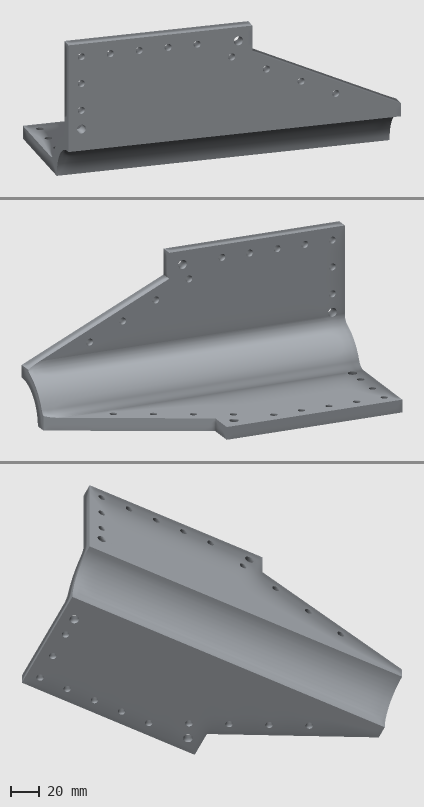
import cadquery as cq
import math

length = 241.3
flange_reach = 105.7
thickness = 9.5
bore_radius = 27.0
corner_radius = bore_radius + thickness
fillet_radius = 7.7

shoulder_y = 133.5
shoulder_step = 19.0
taper_angle = math.radians(25)

small_diameter = 5.0
large_diameter = 6.5
edge_margin = 9.5
side_row_count = 5
side_row_pitch = 21.0
front_row_count = 3
front_row_pitch = 19.8
taper_row_count = 4
taper_row_pitch = 27.7
taper_row_inset = 21.5
taper_row_y = 118.5
large_hole_places = [(62.7, edge_margin), (10.1, 123.3)]

overshoot = 2.5


def corner_section():
    """Constant section of both flanges and the rounded corner, with filleted inner corners."""
    meet = math.sqrt(corner_radius**2 - thickness**2)
    diagonal = math.sqrt(0.5)
    body = (
        cq.Workplane("XZ")
        .moveTo(-flange_reach, 0)
        .lineTo(-bore_radius, 0)
        .threePointArc((-bore_radius * diagonal, bore_radius * diagonal), (0, bore_radius))
        .lineTo(0, flange_reach)
        .lineTo(-thickness, flange_reach)
        .lineTo(-thickness, meet)
        .threePointArc((-corner_radius * diagonal, corner_radius * diagonal), (-meet, thickness))
        .lineTo(-flange_reach, thickness)
        .close()
        .extrude(-length)
    )
    for x, z in [(-meet, thickness), (-thickness, meet)]:
        inner_corner = cq.selectors.NearestToPointSelector((x, length / 2, z))
        body = body.edges(inner_corner).fillet(fillet_radius)
    return body


def small_hole_places():
    """(inset, Y) of the small holes: side row, front row and taper row."""
    places = [(edge_margin, edge_margin + i * side_row_pitch) for i in range(side_row_count)]
    places += [(edge_margin + i * front_row_pitch, edge_margin) for i in range(1, front_row_count)]
    for i in range(taper_row_count):
        along = i * taper_row_pitch
        places.append((
            taper_row_inset + along * math.sin(taper_angle),
            taper_row_y + along * math.cos(taper_angle),
        ))
    return places


def flange_cutter():
    """Everything removed from the flange lying along -X: tail cut-out and holes."""
    tail_end_y = length + overshoot
    tail_inset = shoulder_step + (tail_end_y - shoulder_y) * math.tan(taper_angle)
    base = cq.Workplane("XY").workplane(offset=-overshoot)
    height = corner_radius + 2 * overshoot
    cutter = (
        base.polyline([
            (-flange_reach - overshoot, shoulder_y),
            (shoulder_step - flange_reach, shoulder_y),
            (tail_inset - flange_reach, tail_end_y),
            (-flange_reach - overshoot, tail_end_y),
        ])
        .close()
        .extrude(height)
    )
    for places, diameter in [
        (small_hole_places(), small_diameter),
        (large_hole_places, large_diameter),
    ]:
        centres = [(inset - flange_reach, y) for inset, y in places]
        cutter = cutter.union(base.pushPoints(centres).circle(diameter / 2).extrude(height))
    return cutter


def mirrored_to_wall(shape):
    """Reflect in the diagonal plane x + z = 0, which swaps the two flanges."""
    return shape.rotate((0, 0, 0), (0, 1, 0), 90).mirror("YZ")


horizontal_cutter = flange_cutter()
result = corner_section().cut(horizontal_cutter).cut(mirrored_to_wall(horizontal_cutter))